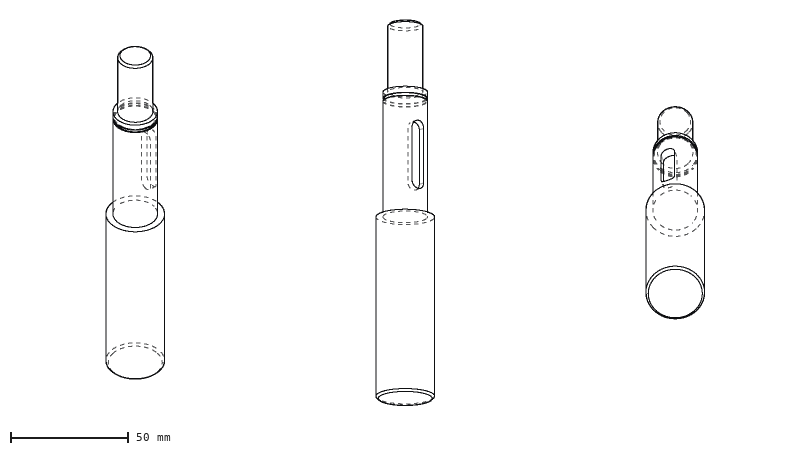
import cadquery as cq

base_diameter = 25.0
base_length = 80.0
seat_diameter = 19.0
seat_length = 55.0
tip_diameter = 15.0
tip_length = 30.0
end_chamfer = 1.0

groove_diameter = 18.0
groove_width = 1.3
groove_setback = 4.0

keyway_width = 6.0
keyway_depth = 3.5
keyway_length = 30.0

seat_radius = seat_diameter / 2
seat_top = base_length + seat_length
groove_bottom = seat_top - groove_setback
keyway_center_height = (base_length + groove_bottom) / 2


def cylinder(diameter, bottom, length):
    return cq.Workplane("XY").workplane(offset=bottom).circle(diameter / 2).extrude(length)


def stepped_shaft():
    base = cylinder(base_diameter, 0, base_length).faces("<Z").chamfer(end_chamfer)
    seat = cylinder(seat_diameter, base_length, seat_length)
    tip = cylinder(tip_diameter, seat_top, tip_length).faces(">Z").chamfer(end_chamfer)
    return base.union(seat).union(tip)


def ring_groove():
    """Ring-shaped cutter, wider than the seat, with the groove diameter as its bore."""
    outer = cylinder(base_diameter, groove_bottom, groove_width)
    core = cylinder(groove_diameter, groove_bottom, groove_width)
    return outer.cut(core)


def keyway():
    """Round-ended cutter reaching inward (-Y) from the seat surface."""
    return (
        cq.Workplane("XZ", origin=(0, seat_radius, keyway_center_height))
        .slot2D(keyway_length, keyway_width, 90)
        .extrude(keyway_depth)
    )


result = stepped_shaft().cut(ring_groove()).cut(keyway())